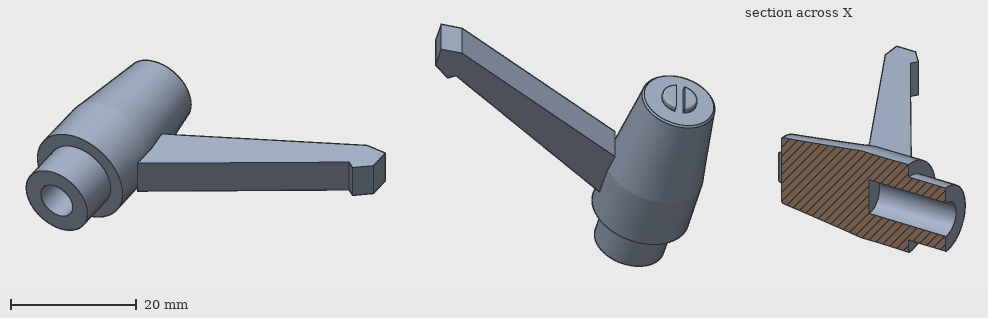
import cadquery as cq


collar_radius = 5.75
collar_length = 6.95
skirt_diameter = 16.0
skirt_radius = skirt_diameter / 2
skirt_top_radius = 7.9
cone_start = 16.0
cone_top_radius = 6.0
hub_top = 30.95
rim_chamfer = 0.3
head_radius = 2.85
head_top = 31.9
head_fillet = 0.45
slot_width = 1.4
bore_radius = 3.0
bore_depth = 14.4

arm_thickness = 6.0
root_lower_y = 11.5
root_upper_y = 19.45
tip_flat_start_x = 36.6
overall_length = 48.0
tip_x = overall_length - skirt_radius
tip_top_y = 34.5
tip_corner_y = 30.95
hook_point = (37.45, 28.8)
hook_notch = (36.3, 29.6)


def interpolate(y, start, end):
    """Radius at height y on the straight line between two (radius, y) points."""
    fraction = (y - start[1]) / (end[1] - start[1])
    return start[0] + fraction * (end[0] - start[0])


skirt_bottom = (skirt_radius, collar_length)
skirt_top = (skirt_top_radius, cone_start)
cone_top = (cone_top_radius, hub_top - rim_chamfer)


def make_hub():
    """Turned hub with a screw slot across one end and a blind bore in the other."""
    turned = (
        cq.Workplane("XY")
        .polyline([
            (0, 0),
            (collar_radius, 0),
            (collar_radius, collar_length),
            skirt_bottom,
            skirt_top,
            cone_top,
            (cone_top_radius - rim_chamfer, hub_top),
            (0, hub_top),
        ])
        .close()
        .revolve(360, (0, 0), (0, 1))
    )
    head_height = head_top - hub_top
    head = (
        cq.Workplane("XZ", origin=(0, hub_top, 0))
        .circle(head_radius)
        .extrude(-head_height)
        .faces(">Y").edges().fillet(head_fillet)
    )
    slot = cq.Workplane("XY").box(
        slot_width, head_height, 2 * head_radius
    ).translate((0, hub_top + head_height / 2, 0))
    bore = cq.Workplane("XZ").circle(bore_radius).extrude(-bore_depth)
    return turned.union(head.cut(slot)).cut(bore)


def make_arm():
    """Flat lever whose root edge follows the side profile of the hub."""
    root_lower = (interpolate(root_lower_y, skirt_bottom, skirt_top), root_lower_y)
    root_upper = (interpolate(root_upper_y, skirt_top, cone_top), root_upper_y)
    return (
        cq.Workplane("XY")
        .polyline([
            root_lower,
            hook_notch,
            hook_point,
            (tip_x, tip_corner_y),
            (tip_x, tip_top_y),
            (tip_flat_start_x, tip_top_y),
            root_upper,
            skirt_top,
        ])
        .close()
        .extrude(arm_thickness / 2, both=True)
    )


hub = make_hub()
arm = make_arm()
result = cq.Compound.makeCompound([hub.solids().val(), arm.solids().val()])